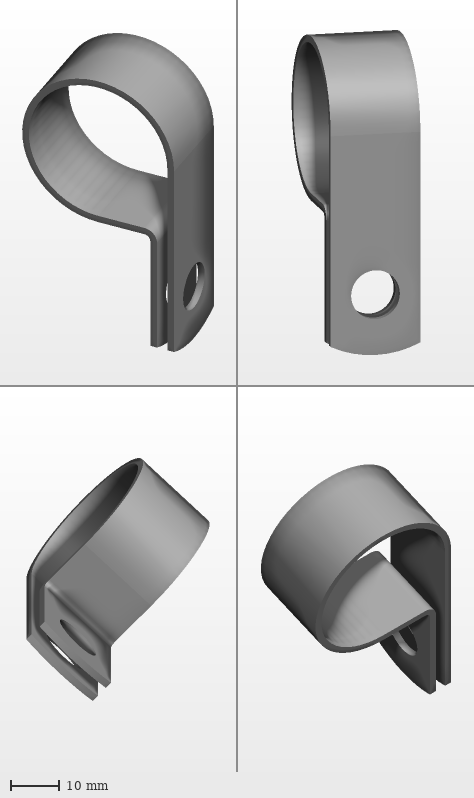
import cadquery as cq
import math

height = 64.2
width = 19.1
thickness = 1.55
loop_radius = 17.4
leg_gap = 2.4
bend_radius = 2.9
hole_diameter = 10.35
hole_height = 12.8
tip_rise = 2.2

inner_radius = loop_radius - thickness
inner_bend_radius = bend_radius - thickness
tip_z = loop_radius - height
short_leg_right = inner_radius - leg_gap
short_leg_left = short_leg_right - thickness
bend_x = short_leg_right - bend_radius
bend_z = -inner_radius - bend_radius
diagonal = math.sqrt(0.5)


def make_strap():
    """Bent strip: long leg, three-quarter loop, flat shelf, short leg."""
    outline = (
        cq.Workplane("XZ")
        .moveTo(loop_radius, tip_z)
        .lineTo(loop_radius, 0)
        .threePointArc((-loop_radius * diagonal, loop_radius * diagonal), (0, -loop_radius))
        .lineTo(bend_x, -loop_radius)
        .threePointArc(
            (bend_x + inner_bend_radius * diagonal, bend_z + inner_bend_radius * diagonal),
            (short_leg_left, bend_z),
        )
        .lineTo(short_leg_left, tip_z)
        .lineTo(short_leg_right, tip_z)
        .lineTo(short_leg_right, bend_z)
        .threePointArc(
            (bend_x + bend_radius * diagonal, bend_z + bend_radius * diagonal),
            (bend_x, -inner_radius),
        )
        .lineTo(0, -inner_radius)
        .threePointArc((-inner_radius * diagonal, inner_radius * diagonal), (inner_radius, 0))
        .lineTo(inner_radius, tip_z)
        .close()
    )
    return outline.extrude(width / 2, both=True)


def make_tip_envelope():
    """Side silhouette with the rounded lower end shared by both legs."""
    half_width = width / 2
    return (
        cq.Workplane("YZ")
        .moveTo(-half_width, loop_radius)
        .lineTo(-half_width, tip_z + tip_rise)
        .threePointArc((0, tip_z), (half_width, tip_z + tip_rise))
        .lineTo(half_width, loop_radius)
        .close()
        .extrude(loop_radius, both=True)
    )


def make_bolt_hole():
    """Cylinder along X that pierces both legs."""
    return (
        cq.Workplane("YZ")
        .center(0, tip_z + hole_height)
        .circle(hole_diameter / 2)
        .extrude(loop_radius, both=True)
    )


result = make_strap().intersect(make_tip_envelope()).cut(make_bolt_hole())